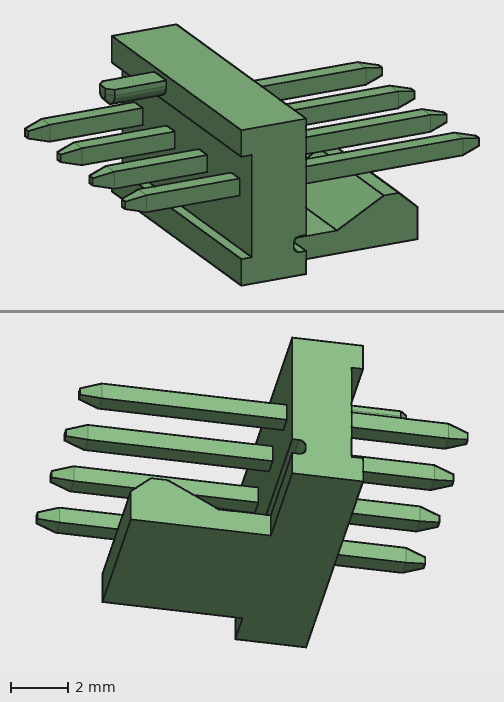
import cadquery as cq


pitch = 2.54
pin_count = 4
housing_length = 10.2
housing_depth = 2.53
housing_height = 5.84
recess_depth = 0.41
rail_height = 1.0

slot_height = 0.6
slot_depth = 0.48
slot_corner_radius = 0.25

pin_width = 0.64
pin_length = 13.84
pin_front_reach = 3.97
pin_height = 3.3
pin_tip_width = 0.28
pin_tip_length = 0.74

latch_width = 2 * pitch
latch_thickness = 0.87
latch_length = 5.0
latch_ramp_start = 1.85
latch_crest_start = 3.68
latch_crest_end = 4.28
latch_crest_height = 1.87
latch_tip_height = 1.21

peg_width = 0.94
peg_length = 2.26
peg_top_gap = 0.18
peg_side_height = 0.21
peg_chamfer = 0.24

first_pin_x = -pitch * (pin_count - 1) / 2
pin_positions = [first_pin_x + i * pitch for i in range(pin_count)]
peg_x = pin_positions[1]
latch_x = pin_positions[2]


def make_housing():
    """Block with a recessed front face and a relief slot along the rear."""
    block = cq.Workplane("XY").box(
        housing_length, housing_depth, housing_height, centered=(True, False, False)
    )
    recess = (
        cq.Workplane("XY")
        .box(
            housing_length,
            recess_depth,
            housing_height - 2 * rail_height,
            centered=(True, False, False),
        )
        .translate((0, 0, rail_height))
    )
    slot = (
        cq.Workplane("XY")
        .box(housing_length, slot_depth, slot_height, centered=(True, False, False))
        .edges("|X and <Y")
        .fillet(slot_corner_radius)
        .translate((0, housing_depth - slot_depth, latch_thickness))
    )
    return block.cut(recess).cut(slot)


def make_latch():
    """Flexible arm ending in a ramped hook."""
    rear = housing_depth
    return (
        cq.Workplane("YZ", origin=(latch_x - latch_width / 2, 0, 0))
        .moveTo(rear, 0)
        .lineTo(rear + latch_length, 0)
        .lineTo(rear + latch_length, latch_tip_height)
        .lineTo(rear + latch_crest_end, latch_crest_height)
        .lineTo(rear + latch_crest_start, latch_crest_height)
        .lineTo(rear + latch_ramp_start, latch_thickness)
        .lineTo(rear, latch_thickness)
        .close()
        .extrude(latch_width)
    )


def make_pin(x):
    """Square pin through the housing, tapered at both ends."""
    shank_length = pin_length - 2 * pin_tip_length
    shank_start = pin_tip_length - pin_front_reach
    shank = (
        cq.Workplane("XY")
        .box(pin_width, shank_length, pin_width, centered=(True, False, True))
        .translate((x, shank_start, pin_height))
    )
    front_tip = (
        cq.Workplane("XZ", origin=(x, shank_start, pin_height))
        .rect(pin_width, pin_width)
        .workplane(offset=pin_tip_length)
        .rect(pin_tip_width, pin_tip_width)
        .loft(ruled=True)
    )
    middle_y = shank_start + shank_length / 2
    rear_tip = front_tip.mirror("XZ", (x, middle_y, pin_height))
    return shank.union(front_tip).union(rear_tip)


def make_peg():
    """Peg on the top rail, chamfered around its free end except along the flat top."""
    radius = peg_width / 2
    top = housing_height - peg_top_gap
    arc_z = top - peg_side_height
    return (
        cq.Workplane("XZ", origin=(peg_x, 0, 0))
        .moveTo(-radius, top)
        .lineTo(radius, top)
        .lineTo(radius, arc_z)
        .threePointArc((0, arc_z - radius), (-radius, arc_z))
        .close()
        .extrude(peg_length)
        .faces("<Y")
        .edges("not >Z")
        .chamfer(peg_chamfer)
    )


result = make_housing().union(make_latch()).union(make_peg())
for pin_x in pin_positions:
    result = result.union(make_pin(pin_x))